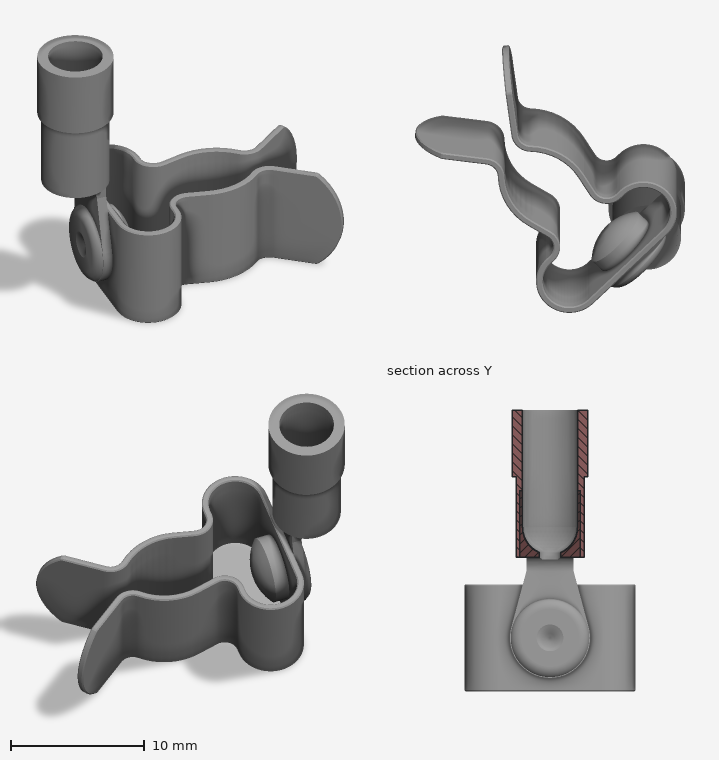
import cadquery as cq
import math


STRIP = 0.5
HEIGHT = 8.0
EDGE = 0.1
CLIP_WIDTH = 12.8
TIP_Y = 18.08
LOOP_R = 2.5
CORNER_R = 1.5
CORNER_X = 3.51
GRIP_R = 4.78
GRIP_HALF_WIDTH = 3.05
GRIP_Y = 8.93
THROAT_R = 1.5
THROAT_HALF_GAP = 0.97
LIP_ANGLE = 37.5
JOIN_GAP = 0.002
LIP_END_R = 5.0

RIVET_Z = HEIGHT / 2
SHANK_R = 1.5
HEAD_R = 2.97
HEAD_ROUND = 0.8
HEAD_FRONT = 1.31
DIMPLE_R = 1.0
DIMPLE_DEPTH = 0.5
BUTTON_R = 2.5
BUTTON_Y = 1.56
DOME_R = 3.76

TAB = 0.75
TAB_R = HEAD_R + 0.02
NECK_WIDTH = 3.5
NECK_ROUND = 0.95
BARREL_R = 2.29
BORE_R = 2.05
FLOOR = 0.23
FLOOR_HOLE_R = 0.8
HOLE_RUNOUT = 0.14
BARREL_LENGTH = 5.0

SLEEVE_BOTTOM = 10.0
SLEEVE_STEP = 6.0
SLEEVE_LENGTH = 11.01
SLEEVE_R = 2.55
COLLAR_R = 2.85
SLEEVE_Y = -1.77

NECK_BOTTOM = SLEEVE_BOTTOM - NECK_ROUND


def polar(center, radius, angle):
    """Point at an angle in degrees around a centre."""
    a = math.radians(angle)
    return (center[0] + radius * math.cos(a), center[1] + radius * math.sin(a))


def mid(r):
    """Radius of the middle of the sheet in a bend of outside radius r."""
    return r - STRIP / 2


LOOP = (CLIP_WIDTH / 2 - LOOP_R, LOOP_R)
CORNER = (CORNER_X, 2 * LOOP_R - STRIP + CORNER_R)
GRIP = (GRIP_HALF_WIDTH - GRIP_R, GRIP_Y)
throat_x = THROAT_HALF_GAP + THROAT_R
throat_reach = mid(GRIP_R) + mid(THROAT_R)
THROAT = (throat_x, GRIP_Y + math.sqrt(throat_reach**2 - (throat_x - GRIP[0])**2))

GRIP_END = math.degrees(math.atan2(THROAT[1] - GRIP[1], THROAT[0] - GRIP[0]))
corner_direction = math.degrees(math.atan2(CORNER[1] - GRIP[1], CORNER[0] - GRIP[0]))
corner_distance = math.hypot(CORNER[0] - GRIP[0], CORNER[1] - GRIP[1])
GRIP_START = corner_direction + math.degrees(math.acos((mid(GRIP_R) + mid(CORNER_R)) / corner_distance))
LIP_NORMAL = 180 - LIP_ANGLE

lip_slope = math.radians(LIP_ANGLE)
lip_start = polar(THROAT, mid(THROAT_R), LIP_NORMAL)
tip_y = TIP_Y - STRIP / 2 * math.sin(lip_slope)
LIP_TIP = (lip_start[0] + (tip_y - lip_start[1]) * math.tan(lip_slope), tip_y)


def arm_face(side):
    """Bends of one sheet face as (centre, radius, start, end), with side +1 outside and -1 inside."""
    shift = side * STRIP / 2
    return [
        (LOOP, mid(LOOP_R) + shift, -90, 90),
        (CORNER, mid(CORNER_R) - shift, 270, 180 + GRIP_START),
        (GRIP, mid(GRIP_R) + shift, GRIP_START, GRIP_END),
        (THROAT, mid(THROAT_R) - shift, 180 + GRIP_END, LIP_NORMAL),
    ]


def add_bend(outline, center, radius, start, end):
    """Continue an outline with a bend, after a straight where the bend does not follow directly."""
    first = polar(center, radius, start)
    reached = outline.val().endPoint().toTuple() if outline.ctx.pendingEdges else (0, 0)
    if math.hypot(first[0] - reached[0], first[1] - reached[1]) > JOIN_GAP:
        outline = outline.lineTo(*first)
    return outline.threePointArc(polar(center, radius, (start + end) / 2), polar(center, radius, end))


def make_arm():
    """Right half of the clip before its rim is chamfered."""
    outline = cq.Workplane("XY").moveTo(0, 0)
    for center, radius, start, end in arm_face(1):
        outline = add_bend(outline, center, radius, start, end)
    outline = outline.lineTo(*polar(LIP_TIP, STRIP / 2, LIP_NORMAL - 180))
    outline = outline.lineTo(*polar(LIP_TIP, STRIP / 2, LIP_NORMAL))
    for center, radius, start, end in reversed(arm_face(-1)):
        outline = add_bend(outline, center, radius, end, start)
    return outline.lineTo(0, STRIP).close().extrude(HEIGHT).cut(make_lip_trim())


def make_lip_trim():
    """Material to remove beyond the rounded end of the right lip."""
    along = (math.sin(lip_slope), math.cos(lip_slope), 0)
    across = (-math.cos(lip_slope), math.sin(lip_slope), 0)
    lip_plane = cq.Plane(origin=(*LIP_TIP, HEIGHT / 2), xDir=along, normal=across)
    chord = math.sqrt(LIP_END_R**2 - (HEIGHT / 2)**2)
    trim = cq.Workplane(lip_plane).center(chord - LIP_END_R, 0).rect(LIP_END_R, 2 * HEIGHT)
    trim = trim.extrude(STRIP, both=True)
    disc = cq.Workplane(lip_plane).center(-LIP_END_R, 0).circle(LIP_END_R).extrude(STRIP, both=True)
    return trim.cut(disc)


def make_clip():
    """Both arms as one strip, with a chamfered rim and the rivet hole."""
    arm = make_arm()
    clip = arm.union(arm.mirror("YZ")).clean()
    lip_ends = clip.faces(">Y")
    rim = clip.faces("|Z").edges().add(lip_ends.edges())
    return rim.chamfer(EDGE).cut(make_shank_hole())


def make_shank_hole():
    """Cylinder of the rivet shank, through the back of the clip."""
    return cq.Workplane("XZ", origin=(0, STRIP, RIVET_Z)).circle(SHANK_R).extrude(STRIP)


def make_rivet():
    """Turned about its own axis: radius first, then distance along Y."""
    head_back = -HEAD_FRONT + HEAD_ROUND
    face_r = HEAD_R - HEAD_ROUND
    diagonal = HEAD_ROUND * math.sqrt(0.5)
    round_mid = (face_r + diagonal, head_back - diagonal)
    dome_center = BUTTON_Y - math.sqrt(DOME_R**2 - BUTTON_R**2)
    dome_mid_angle = 90 - math.degrees(math.asin(BUTTON_R / DOME_R)) / 2
    profile = (
        cq.Workplane("XY", origin=(0, 0, RIVET_Z))
        .moveTo(0, -HEAD_FRONT + DIMPLE_DEPTH)
        .lineTo(DIMPLE_R, -HEAD_FRONT)
        .lineTo(face_r, -HEAD_FRONT)
        .threePointArc(round_mid, (HEAD_R, head_back))
        .lineTo(SHANK_R, head_back)
        .lineTo(SHANK_R, STRIP)
        .lineTo(BUTTON_R, STRIP)
        .lineTo(BUTTON_R, BUTTON_Y)
        .threePointArc(polar((0, dome_center), DOME_R, dome_mid_angle), (0, dome_center + DOME_R))
        .close()
    )
    return profile.revolve(360, (0, 0, 0), (0, 1, 0))


def make_tab():
    """Flat tab that widens downward to touch its round end."""
    half_neck = NECK_WIDTH / 2
    rise = NECK_BOTTOM - RIVET_Z
    shoulder_distance = math.hypot(half_neck, rise)
    touch = math.degrees(math.atan2(rise, half_neck) - math.acos(TAB_R / shoulder_distance))
    center = (0, RIVET_Z)
    return (
        cq.Workplane("XZ")
        .moveTo(half_neck, NECK_BOTTOM)
        .lineTo(*polar(center, TAB_R, touch))
        .threePointArc(polar(center, TAB_R, -90), polar(center, TAB_R, 180 - touch))
        .lineTo(-half_neck, NECK_BOTTOM)
        .close()
        .extrude(TAB)
    )


def make_neck():
    """Block between the tab and the barrel, with a concave round at the front."""
    arc_center = (-TAB - NECK_ROUND, NECK_BOTTOM)
    arc_mid = polar(arc_center, NECK_ROUND, 45)
    return (
        cq.Workplane("YZ", origin=(-NECK_WIDTH / 2, 0, 0))
        .moveTo(0, NECK_BOTTOM)
        .lineTo(0, SLEEVE_BOTTOM)
        .lineTo(arc_center[0], SLEEVE_BOTTOM)
        .threePointArc(arc_mid, (-TAB, NECK_BOTTOM))
        .close()
        .extrude(NECK_WIDTH)
    )


def make_lug(rivet):
    """Tab, neck and barrel in one piece, recessed for the rivet."""
    base = cq.Workplane("XY", origin=(0, SLEEVE_Y, SLEEVE_BOTTOM))
    barrel = base.circle(BARREL_R).extrude(BARREL_LENGTH)
    bowl_height = FLOOR + BORE_R
    bowl = base.workplane(offset=bowl_height).sphere(BORE_R)
    bowl = bowl.union(base.workplane(offset=bowl_height).circle(BORE_R).extrude(BARREL_LENGTH))
    floor_hole = base.workplane(offset=-HOLE_RUNOUT).circle(FLOOR_HOLE_R).extrude(BARREL_LENGTH)
    lug = make_tab().union(make_neck()).union(barrel).cut(bowl).cut(floor_hole)
    return lug.cut(rivet)


def make_sleeve():
    """Stepped tube with a bore as wide as the barrel's and a seat for the barrel."""
    base = cq.Workplane("XY", origin=(0, SLEEVE_Y, SLEEVE_BOTTOM))
    thin_part = base.circle(SLEEVE_R).extrude(SLEEVE_STEP)
    collar = base.workplane(offset=SLEEVE_STEP).circle(COLLAR_R).extrude(SLEEVE_LENGTH - SLEEVE_STEP)
    bore = base.circle(BORE_R).extrude(SLEEVE_LENGTH)
    barrel_seat = base.circle(BARREL_R).extrude(BARREL_LENGTH)
    return thin_part.union(collar).cut(bore).cut(barrel_seat)


clip = make_clip()
rivet = make_rivet()
lug = make_lug(rivet)
sleeve = make_sleeve()

result = cq.Compound.makeCompound([
    clip.solids().val(),
    rivet.solids().val(),
    lug.solids().val(),
    sleeve.solids().val(),
])